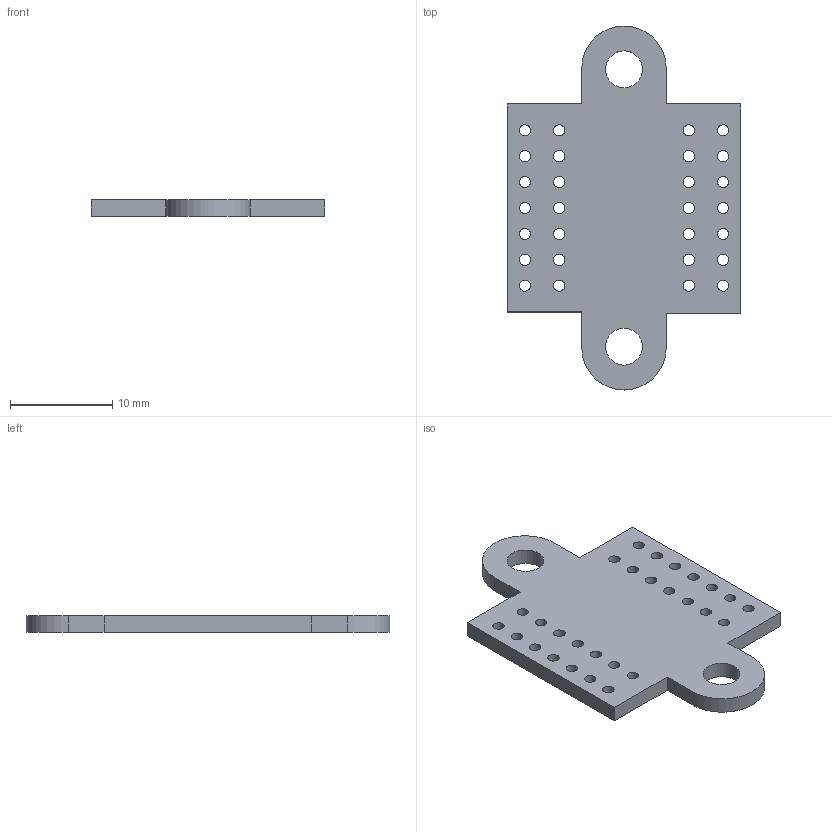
import cadquery as cq

thickness = 1.6
board_width = 22.86
total_length = 35.56

board_top = 10.16
board_bottom_left = -10.16
board_bottom_right = -10.287

tab_width = 8.255
mount_hole_diameter = 3.6
mount_hole_offset = 13.55

pin_hole_diameter = 1.1
pin_pitch = 2.53
pin_rows = 7
inner_column_offset = 6.33
outer_column_offset = 9.68

half_width = board_width / 2
half_length = total_length / 2
tab_radius = tab_width / 2
tab_arc_start = half_length - tab_radius


def make_plate():
    """Rectangular board with a round-ended tab at each end of Y."""
    return (
        cq.Workplane("XY")
        .moveTo(-half_width, board_bottom_left)
        .lineTo(-tab_radius, board_bottom_left)
        .lineTo(-tab_radius, -tab_arc_start)
        .threePointArc((0, -half_length), (tab_radius, -tab_arc_start))
        .lineTo(tab_radius, board_bottom_right)
        .lineTo(half_width, board_bottom_right)
        .lineTo(half_width, board_top)
        .lineTo(tab_radius, board_top)
        .lineTo(tab_radius, tab_arc_start)
        .threePointArc((0, half_length), (-tab_radius, tab_arc_start))
        .lineTo(-tab_radius, board_top)
        .lineTo(-half_width, board_top)
        .close()
        .extrude(thickness)
    )


def drill(plate, centres, diameter):
    """Cut round holes through the plate at the given XY centres."""
    holes = cq.Workplane("XY").pushPoints(centres).circle(diameter / 2).extrude(thickness)
    return plate.cut(holes)


def pin_hole_centres():
    """Centres of all pin holes, column by column."""
    first_row = -pin_pitch * (pin_rows - 1) / 2
    columns = (-outer_column_offset, -inner_column_offset, inner_column_offset, outer_column_offset)
    return [(x, first_row + row * pin_pitch) for x in columns for row in range(pin_rows)]


mount_hole_centres = [(0, mount_hole_offset), (0, -mount_hole_offset)]

result = make_plate()
result = drill(result, mount_hole_centres, mount_hole_diameter)
result = drill(result, pin_hole_centres(), pin_hole_diameter)